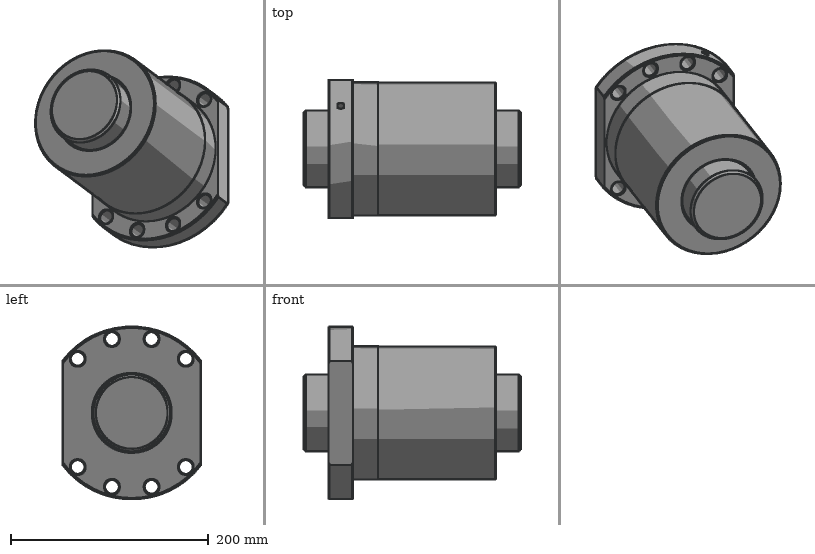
import cadquery as cq
import math

SHAFT_LENGTH = 220.0
SHAFT_RADIUS = 39.0
SHAFT_CHAMFER = 2.6

SHAFT_OVERHANG = 25.0
NUT_LENGTH = SHAFT_LENGTH - 2 * SHAFT_OVERHANG
FLANGE_THICKNESS = 25.0
FLANGE_HEIGHT = 175.0
FLANGE_RADIUS = FLANGE_HEIGHT / 2
FLANGE_WIDTH = 140.0
FLANGE_CHAMFER = 1.3
COLLAR_LENGTH = 25.0
COLLAR_RADIUS = 67.5
BARREL_RADIUS = 67.3
BARREL_CHAMFER = 1.3
BORE_CHAMFER = 1.5

BOLT_CIRCLE_RADIUS = 77.5
BOLT_HOLE_RADIUS = 7.0
BOLT_HOLE_CHAMFER = 0.9
BOLT_ANGLES = (-45, -15, 15, 45)

OIL_HOLE_RADIUS = 3.5
OIL_HOLE_ANGLE = 30

FLANGE_START = SHAFT_OVERHANG
COLLAR_START = FLANGE_START + FLANGE_THICKNESS
BARREL_START = COLLAR_START + COLLAR_LENGTH
NUT_END = FLANGE_START + NUT_LENGTH


def cylinder_x(start, end, radius):
    """Cylinder on the X axis between two X positions."""
    return cq.Workplane("YZ", origin=(start, 0, 0)).circle(radius).extrude(end - start)


def chamfered_hole(start, end, radius, chamfer):
    """Cutting tool for a hole on the X axis with a chamfer at each end."""
    flare = radius + chamfer
    profile = [
        (start, 0),
        (start, flare),
        (start + chamfer, radius),
        (end - chamfer, radius),
        (end, flare),
        (end, 0),
    ]
    return cq.Workplane("XY").polyline(profile).close().revolve(360, (0, 0, 0), (1, 0, 0))


def make_shaft():
    """Plain round shaft with both ends chamfered."""
    return cylinder_x(0, SHAFT_LENGTH, SHAFT_RADIUS).faces("<X or >X").chamfer(SHAFT_CHAMFER)


def make_flange():
    """Round flange with chamfered rims and two flat sides."""
    disc = cylinder_x(FLANGE_START, COLLAR_START, FLANGE_RADIUS).faces("<X or >X").chamfer(FLANGE_CHAMFER)
    flats = cq.Workplane("XY").box(2 * SHAFT_LENGTH, FLANGE_WIDTH, FLANGE_HEIGHT)
    return disc.intersect(flats)


def make_bolt_holes():
    """Chamfered through holes grouped at the top and bottom of the flange."""
    hole = chamfered_hole(FLANGE_START, COLLAR_START, BOLT_HOLE_RADIUS, BOLT_HOLE_CHAMFER)
    holes = cq.Workplane("XY")
    for group_angle in (0, 180):
        for bolt_angle in BOLT_ANGLES:
            angle = math.radians(group_angle + bolt_angle)
            y = BOLT_CIRCLE_RADIUS * math.sin(angle)
            z = BOLT_CIRCLE_RADIUS * math.cos(angle)
            holes = holes.add(hole.translate((0, y, z)))
    return holes.combine()


def make_oil_hole():
    """Radial drilling at mid flange, tilted from +Z towards +Y."""
    drill = cq.Workplane("XY").circle(OIL_HOLE_RADIUS).extrude(FLANGE_RADIUS)
    tilted = drill.rotate((0, 0, 0), (1, 0, 0), -OIL_HOLE_ANGLE)
    return tilted.translate((FLANGE_START + FLANGE_THICKNESS / 2, 0, 0))


def make_nut():
    """Flanged nut: flange, collar and barrel with a bore that fits the shaft."""
    collar = cylinder_x(COLLAR_START, BARREL_START, COLLAR_RADIUS)
    barrel = cylinder_x(BARREL_START, NUT_END, BARREL_RADIUS).faces(">X").chamfer(BARREL_CHAMFER)
    bore = chamfered_hole(FLANGE_START, NUT_END, SHAFT_RADIUS, BORE_CHAMFER)
    body = make_flange().union(collar).union(barrel)
    return body.cut(make_bolt_holes()).cut(make_oil_hole()).cut(bore)


shaft = make_shaft()
nut = make_nut()
result = cq.Compound.makeCompound([shaft.val(), *nut.solids().vals()])